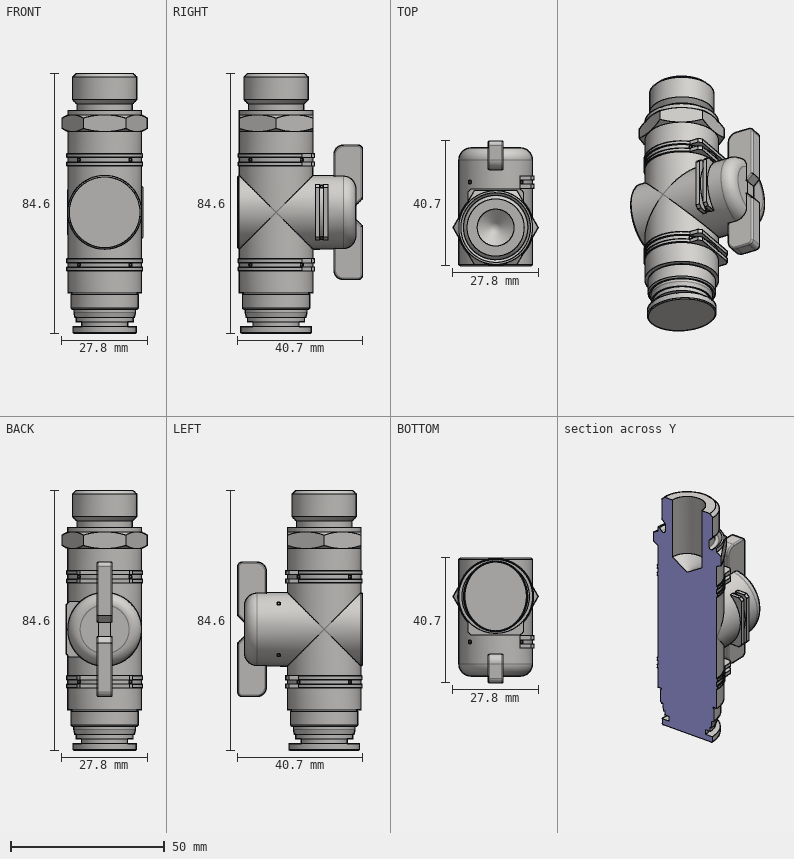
import cadquery as cq
import math

TOTAL_HEIGHT = 84.6
COLLAR_TOP_Z = 2.3
SOCKET_BOTTOM_Z = 3.8
CONE_BOTTOM_Z = 5.25
CONE_TOP_Z = 6.8
SLEEVE_BOTTOM_Z = 7.8
BARREL_BOTTOM_Z = 13.2
HEX_BOTTOM_Z = 65.65
HEX_TOP_Z = 71.15
FLANGE_TOP_Z = 72.6
RELIEF_TOP_Z = 74.6
VALVE_Z = 39.4

BARREL_RADIUS = 12.0
BONNET_FRONT_Y = -12.5
BONNET_BACK_Y = 26.0
BONNET_FRONT_CHAMFER = 0.5
BONNET_BACK_FILLET = 4.1

SLEEVE_RADIUS = 11.0
SLEEVE_CHAMFER = 0.5
CONE_TOP_RADIUS = 10.1
CONE_BOTTOM_RADIUS = 9.7
SOCKET_RADIUS = 9.3
NECK_RADIUS = 7.5

COLLAR_HALF_X = 10.3
COLLAR_HALF_Y = 11.5
COLLAR_CHAMFER = 0.3

HEX_ACROSS_CORNERS = 27.75
HEX_CHAMFER_ANGLE = 30.0
THREAD_RADIUS = 10.5
THREAD_CHAMFER = 1.2
RELIEF_RADIUS = 9.05
SEAL_RECESS_RADIUS = 11.3
SEAL_RECESS_ROOT_RADIUS = 0.8
BORE_RADIUS = 6.0
BORE_DEPTH = 21.15
BORE_TIP_ANGLE = 118.0

BAND_OFFSET = 17.1
RIB_RADIUS = 12.35
RIB_WIDTH = 1.35
RIB_CHAMFER = 0.2
RIB_PITCH = 2.7
CLIP_REACH = 12.5
CLIP_HALF_WIDTH = 9.05
CLIP_CHAMFER = 1.0
SIDE_BAND_Y = 14.8
MARK_RADIUS = 0.6
MARK_DEPTH = 0.3
MARK_ANGLES = (45, 135, 225, 315)

HANDLE_LENGTH = 43.8
HANDLE_THICKNESS = 4.9
HANDLE_INNER_Y = 18.8
HANDLE_OUTER_Y = 28.2
HANDLE_INNER_RADIUS = 3.1
HANDLE_OUTER_RADIUS = 1.5
HANDLE_NOTCH_HALF_WIDTH = 4.5
HANDLE_EDGE_FILLET = 0.5


def disc(radius, bottom_z, top_z):
    return cq.Workplane("XY", origin=(0, 0, bottom_z)).circle(radius).extrude(top_z - bottom_z)


def make_bonnet():
    bonnet = (
        cq.Workplane("XZ", origin=(0, BONNET_FRONT_Y, VALVE_Z))
        .circle(BARREL_RADIUS)
        .extrude(BONNET_FRONT_Y - BONNET_BACK_Y)
    )
    bonnet = bonnet.faces("<Y").chamfer(BONNET_FRONT_CHAMFER)
    return bonnet.faces(">Y").edges().fillet(BONNET_BACK_FILLET)


def make_push_in_end():
    sleeve = disc(SLEEVE_RADIUS, SLEEVE_BOTTOM_Z, BARREL_BOTTOM_Z).faces("<Z or >Z").chamfer(SLEEVE_CHAMFER)
    profile = [
        (0, COLLAR_TOP_Z),
        (NECK_RADIUS, COLLAR_TOP_Z),
        (NECK_RADIUS, SOCKET_BOTTOM_Z),
        (SOCKET_RADIUS, SOCKET_BOTTOM_Z),
        (SOCKET_RADIUS, CONE_BOTTOM_Z),
        (CONE_BOTTOM_RADIUS, CONE_BOTTOM_Z),
        (CONE_TOP_RADIUS, CONE_TOP_Z),
        (CONE_TOP_RADIUS, SLEEVE_BOTTOM_Z),
        (0, SLEEVE_BOTTOM_Z),
    ]
    socket = cq.Workplane("XZ").polyline(profile).close().revolve(360, (0, 0), (0, 1))
    collar = cq.Workplane("XY").ellipse(COLLAR_HALF_X, COLLAR_HALF_Y).extrude(COLLAR_TOP_Z)
    return sleeve.union(socket).union(collar.faces("<Z").chamfer(COLLAR_CHAMFER))


def make_hex():
    height = HEX_TOP_Z - HEX_BOTTOM_Z
    prism = cq.Workplane("XY", origin=(0, 0, HEX_BOTTOM_Z)).polygon(6, HEX_ACROSS_CORNERS).extrude(height)
    corner_radius = HEX_ACROSS_CORNERS / 2
    corner_drop = (corner_radius - BARREL_RADIUS) * math.tan(math.radians(HEX_CHAMFER_ANGLE))
    rounded_profile = [
        (0, HEX_BOTTOM_Z),
        (BARREL_RADIUS, HEX_BOTTOM_Z),
        (corner_radius, HEX_BOTTOM_Z + corner_drop),
        (corner_radius, HEX_TOP_Z - corner_drop),
        (BARREL_RADIUS, HEX_TOP_Z),
        (0, HEX_TOP_Z),
    ]
    return prism.intersect(cq.Workplane("XZ").polyline(rounded_profile).close().revolve(360, (0, 0), (0, 1)))


def make_seal_recess():
    """Ring recess around the relief: a root arc that runs tangent into a 45-degree outer wall."""
    half_root = SEAL_RECESS_ROOT_RADIUS * math.sqrt(0.5)
    root_center_r = RELIEF_RADIUS + SEAL_RECESS_ROOT_RADIUS
    wall_rise = SEAL_RECESS_RADIUS - root_center_r - half_root
    root_center_z = FLANGE_TOP_Z - wall_rise + half_root
    return (
        cq.Workplane("XZ")
        .moveTo(RELIEF_RADIUS, FLANGE_TOP_Z)
        .lineTo(RELIEF_RADIUS, root_center_z)
        .threePointArc(
            (root_center_r, root_center_z - SEAL_RECESS_ROOT_RADIUS),
            (root_center_r + half_root, root_center_z - half_root),
        )
        .lineTo(SEAL_RECESS_RADIUS, FLANGE_TOP_Z)
        .close()
        .revolve(360, (0, 0), (0, 1))
    )


def make_threaded_end():
    relief_chamfer = THREAD_RADIUS - RELIEF_RADIUS
    flange = disc(BARREL_RADIUS, HEX_TOP_Z, FLANGE_TOP_Z)
    relief = disc(RELIEF_RADIUS, HEX_TOP_Z, RELIEF_TOP_Z)
    thread = disc(THREAD_RADIUS, RELIEF_TOP_Z, TOTAL_HEIGHT)
    thread = thread.faces("<Z").chamfer(relief_chamfer).faces(">Z").chamfer(THREAD_CHAMFER)
    return flange.cut(make_seal_recess()).union(relief).union(thread)


def make_bore():
    tip_depth = BORE_RADIUS / math.tan(math.radians(BORE_TIP_ANGLE / 2))
    floor_z = TOTAL_HEIGHT - BORE_DEPTH
    profile = [
        (0, floor_z - tip_depth),
        (BORE_RADIUS, floor_z),
        (BORE_RADIUS, TOTAL_HEIGHT),
        (0, TOTAL_HEIGHT),
    ]
    return cq.Workplane("XZ").polyline(profile).close().revolve(360, (0, 0), (0, 1))


def make_clip(center_z):
    """Square-backed clip slab from the flow axis to its chamfered +Y face."""
    return (
        cq.Workplane("XY", origin=(0, 0, center_z - RIB_WIDTH / 2))
        .rect(2 * CLIP_HALF_WIDTH, CLIP_REACH)
        .extrude(RIB_WIDTH)
        .translate((0, CLIP_REACH / 2, 0))
        .edges("|Z and >Y")
        .chamfer(CLIP_CHAMFER)
    )


def make_port_band(center_z):
    """Two ribs around the barrel, each with a clip at the back."""
    band = cq.Workplane("XY")
    for side in (-1, 1):
        rib_z = center_z + side * RIB_PITCH / 2
        rib = disc(RIB_RADIUS, rib_z - RIB_WIDTH / 2, rib_z + RIB_WIDTH / 2).edges().chamfer(RIB_CHAMFER)
        band = band.add(rib.union(make_clip(rib_z)))
    return band.combine()


def make_side_clips():
    """The clips on the +X side of the bonnet."""
    clips = cq.Workplane("XY")
    for side in (-1, 1):
        clip = make_clip(side * RIB_PITCH / 2)
        clip = clip.rotate((0, 0, 0), (0, 0, 1), -90).rotate((0, 0, 0), (1, 0, 0), -90)
        clips = clips.add(clip.translate((0, SIDE_BAND_Y, VALVE_Z)))
    return clips.combine()


def make_marks(center, side):
    """Cutters for the shallow round holes around a cylinder, at MARK_ANGLES from +X toward side."""
    marks = cq.Workplane("XY")
    for angle in MARK_ANGLES:
        along_x = cq.Vector(math.cos(math.radians(angle)), 0, 0)
        outward = along_x + side * math.sin(math.radians(angle))
        start = center + outward * (BARREL_RADIUS - MARK_DEPTH)
        marks = marks.add(cq.Workplane(cq.Solid.makeCylinder(MARK_RADIUS, 2 * MARK_DEPTH, start, outward)))
    return marks


def make_handle():
    """Flat bar through the bonnet, with a 45-degree notch down to the bonnet's back face."""
    half_length = HANDLE_LENGTH / 2
    notch_half_floor = HANDLE_NOTCH_HALF_WIDTH - (HANDLE_OUTER_Y - BONNET_BACK_Y)
    bar = (
        cq.Workplane("YZ", origin=(-HANDLE_THICKNESS / 2, 0, VALVE_Z))
        .polyline(
            [
                (HANDLE_INNER_Y, -half_length),
                (HANDLE_OUTER_Y, -half_length),
                (HANDLE_OUTER_Y, -HANDLE_NOTCH_HALF_WIDTH),
                (BONNET_BACK_Y, -notch_half_floor),
                (BONNET_BACK_Y, notch_half_floor),
                (HANDLE_OUTER_Y, HANDLE_NOTCH_HALF_WIDTH),
                (HANDLE_OUTER_Y, half_length),
                (HANDLE_INNER_Y, half_length),
            ]
        )
        .close()
        .extrude(HANDLE_THICKNESS)
    )
    bar = bar.edges("|X and <Y").fillet(HANDLE_INNER_RADIUS)
    bar = bar.edges("|X and (<Z or >Z) and >Y").fillet(HANDLE_OUTER_RADIUS)
    return bar.faces("<X or >X").edges().fillet(HANDLE_EDGE_FILLET)


def make_housing(handle):
    """Housing with a slot that the handle fills."""
    housing = disc(BARREL_RADIUS, BARREL_BOTTOM_Z, HEX_TOP_Z)
    housing = housing.union(make_bonnet())
    housing = housing.union(make_push_in_end())
    housing = housing.union(make_hex())
    housing = housing.union(make_threaded_end())
    band_heights = [VALVE_Z - BAND_OFFSET, VALVE_Z + BAND_OFFSET]
    for height in band_heights:
        housing = housing.union(make_port_band(height))
    housing = housing.union(make_side_clips())
    for height in band_heights:
        for mark in make_marks(cq.Vector(0, 0, height), cq.Vector(0, 1, 0)).vals():
            housing = housing.cut(cq.Workplane(mark))
    for mark in make_marks(cq.Vector(0, SIDE_BAND_Y, VALVE_Z), cq.Vector(0, 0, 1)).vals():
        housing = housing.cut(cq.Workplane(mark))
    return housing.cut(make_bore()).cut(handle)


handle = make_handle()
housing = make_housing(handle)
result = cq.Compound.makeCompound([housing.val(), handle.val()])